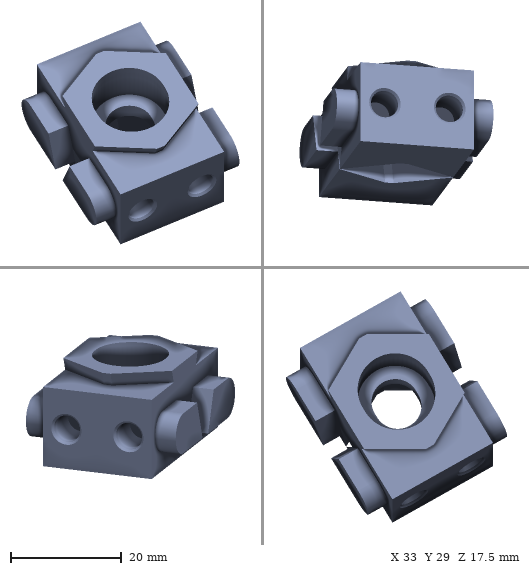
import cadquery as cq
import math

block_length = 33.0
block_width = 21.02
block_height = 15.0

slide_angle = 20.0
slide_slope = math.tan(math.radians(slide_angle))

top_height = 17.5
wedge_bottom = 6.45
hex_half_length = 12.0
end_flat_half_width = 0.8
hex_half_side = 6.4

passage_travel = 0.9
counterbore_diameter = 13.6
passage_diameter = 8.58
counterbore_floor = 9.47

lug_length = 4.0
lug_radius = 3.75
lug_half_reach = 14.8

end_hole_diameter = 5.0
end_hole_mouth_diameter = 5.85
end_hole_spacing = 12.0
end_hole_depth = 7.25

full_width = block_width + 2 * lug_length
mid_height = block_height / 2
mouth_chamfer = (end_hole_mouth_diameter - end_hole_diameter) / 2


def hexagon_points(height, half_width):
    """Return the wedge section at a height, its slanted sides extended to half_width."""
    shift = slide_slope * (top_height - height)
    tip_x = hex_half_length - shift
    side_run = (hex_half_length - hex_half_side) / (block_width / 2 - end_flat_half_width)
    side_x = tip_x - side_run * (half_width - end_flat_half_width)
    return [
        (side_x, -half_width),
        (tip_x, -end_flat_half_width),
        (tip_x, end_flat_half_width),
        (side_x, half_width),
        (-side_x, half_width),
        (-tip_x, end_flat_half_width),
        (-tip_x, -end_flat_half_width),
        (-side_x, -half_width),
    ]


def hexagonal_taper(bottom, top):
    """Prism whose two ends lean inward toward the bottom while its width stays constant."""
    return (
        cq.Workplane("XY", origin=(0, 0, bottom))
        .polyline(hexagon_points(bottom, block_width / 2))
        .close()
        .workplane(offset=top - bottom)
        .polyline(hexagon_points(top, block_width / 2))
        .close()
        .loft(ruled=True)
    )


def slotted_passage(diameter, bottom):
    return (
        cq.Workplane("XY", origin=(0, 0, bottom))
        .slot2D(diameter + passage_travel, diameter)
        .extrude(top_height - bottom)
    )


def make_wedge():
    body = hexagonal_taper(wedge_bottom, top_height)
    body = body.cut(slotted_passage(counterbore_diameter, counterbore_floor))
    return body.cut(slotted_passage(passage_diameter, wedge_bottom))


def v_gap():
    """V-shaped space between the jaws, running past the lug ends."""
    bottom_half = hex_half_side - slide_slope * top_height
    return (
        cq.Workplane("XZ", origin=(0, full_width / 2, 0))
        .polyline([
            (-bottom_half, 0),
            (bottom_half, 0),
            (hex_half_side, top_height),
            (-hex_half_side, top_height),
        ])
        .close()
        .extrude(full_width)
    )


def end_hole(y):
    """Blind hole entering the -X end, with a chamfered mouth."""
    end_x = -block_length / 2
    plane = cq.Workplane("YZ", origin=(end_x, y, mid_height))
    bore = plane.circle(end_hole_diameter / 2).extrude(end_hole_depth)
    mouth = (
        plane.circle(end_hole_mouth_diameter / 2)
        .workplane(offset=mouth_chamfer)
        .circle(end_hole_diameter / 2)
        .loft()
    )
    return bore.union(mouth)


def left_half_block(width):
    return (
        cq.Workplane("XY", origin=(-block_length / 2, 0, 0))
        .box(block_length / 2, width, block_height, centered=(False, True, False))
    )


def make_left_jaw():
    body = left_half_block(block_width)
    lugs = (
        cq.Workplane("XZ", origin=(0, full_width / 2, mid_height))
        .slot2D(2 * lug_half_reach, 2 * lug_radius)
        .extrude(full_width)
    )
    body = body.union(lugs.intersect(left_half_block(full_width)))
    body = body.cut(v_gap())
    body = body.cut(hexagonal_taper(0, top_height))
    for y in (-end_hole_spacing / 2, end_hole_spacing / 2):
        body = body.cut(end_hole(y))
    return body


wedge = make_wedge()
left_jaw = make_left_jaw()
right_jaw = left_jaw.mirror("YZ")

result = cq.Compound.makeCompound([wedge.val(), left_jaw.val(), right_jaw.val()])